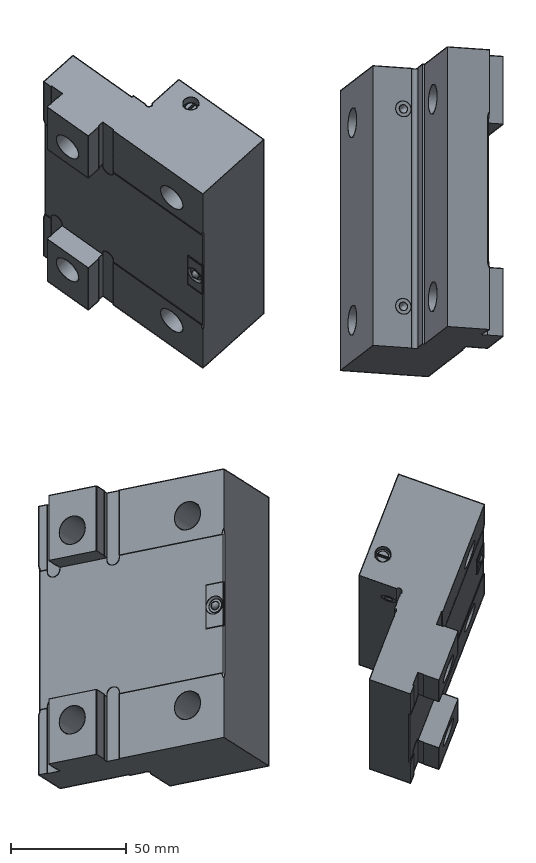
import cadquery as cq


width = 92
height = 124.4
depth = 49.0
land_y = 9.3
middle_y = 9.7
middle_height = 64.2
pad_left = 10.2
pad_right = 34.1
pad_chamfer = 0.2
flange_back_y = 28.4
ledge_x = 34.1
ledge_y = 29.4
block_x = 42.9

relief_radius = 1.5
relief_x = 42.0
relief_y = 30.5

groove_width = 6.2
groove_depth = 0.5
groove_end_z = 28.2
left_undercut = 0.1
right_undercut = 0.4
undercut_y = 7.1
left_groove_x = pad_left + left_undercut - groove_width / 2
right_groove_x = pad_right - right_undercut + groove_width / 2

edge_chamfer = 0.5
runout_radius = 5.6

mount_diameter = 12.9
mount_left_x = 22.0
mount_right_x = 74.0
mount_z = 43.9

set_screw_radius = 3.5
set_screw_length = 12.5
set_screw_y = 35.3
socket_radius = 1.9
socket_depth = 1.6

slotted_x = 55.5
slotted_y = 42.7
slotted_radius = 3.5
slotted_length = 12.5
slotted_sink = 3.0
slotted_chamfer = 1.0
slot_width = 1.0
slot_depth = 1.5

plate_face_y = land_y
plate_width = 8.5
plate_height = 20.2
plate_thickness = 0.9
plate_back_y = plate_face_y + plate_thickness
plate_right = width - edge_chamfer
nose_screw_x = plate_right - plate_width / 2
nose_screw_radius = 3.1
nose_screw_length = 10
nose_radius = 1.9
countersink_radius = 4.1


def box(x_range, y_range, z_range):
    """Axis-aligned box between the given limits."""
    (x0, x1), (y0, y1), (z0, z1) = x_range, y_range, z_range
    return cq.Workplane("XY").box(x1 - x0, y1 - y0, z1 - z0, centered=False).translate((x0, y0, z0))


def rod_along_y(x, y, z, radius, length):
    """Cylinder that starts at (x, y, z) and runs toward +Y."""
    return cq.Workplane(cq.Solid.makeCylinder(radius, length, cq.Vector(x, y, z), cq.Vector(0, 1, 0)))


def make_blank():
    """Stepped section over the full height, with the relief groove in its corner."""
    outline = [
        (0, land_y),
        (pad_left, land_y),
        (pad_left, pad_chamfer),
        (pad_left + pad_chamfer, 0),
        (pad_right - pad_chamfer, 0),
        (pad_right, pad_chamfer),
        (pad_right, land_y),
        (width, land_y),
        (width, depth),
        (block_x, depth),
        (block_x, ledge_y),
        (ledge_x, ledge_y),
        (ledge_x, flange_back_y),
        (0, flange_back_y),
    ]
    bottom = cq.Workplane("XY").workplane(offset=-height / 2)
    blank = bottom.polyline(outline).close().extrude(height)
    relief = bottom.center(relief_x, relief_y).circle(relief_radius).extrude(height)
    return blank.cut(relief)


def groove_cutter(x, side):
    """Round-ended groove that runs out through the top (side 1) or the bottom (side -1)."""
    radius = groove_width / 2
    straight_z = groove_end_z + radius
    floor_y = land_y + groove_depth
    channel = box((x - radius, x + radius), (undercut_y, floor_y), (straight_z, height / 2))
    end = rod_along_y(x, undercut_y, straight_z, radius, floor_y - undercut_y)
    cutter = channel.union(end)
    return cutter if side > 0 else cutter.mirror("XY")


def edge_cutter(edge_x, turn):
    """Bar at 45 degrees across a long front edge; its rounded ends let the chamfer run out in the lands."""
    flat_side_y = middle_y + edge_chamfer
    bar_width = 2 * runout_radius
    bar = (
        cq.Workplane("YZ")
        .slot2D(middle_height + bar_width, bar_width, 90)
        .extrude(runout_radius, both=True)
        .translate((0, -runout_radius, 0))
    )
    return bar.rotate((0, 0, 0), (0, 0, 1), turn).translate((edge_x, flat_side_y, 0))


def make_set_screw_shank(side):
    """Shank of a set screw, which is also the shape of its hole in the housing."""
    return cq.Workplane(
        cq.Solid.makeCylinder(
            set_screw_radius,
            set_screw_length,
            cq.Vector(block_x, set_screw_y, side * mount_z),
            cq.Vector(1, 0, 0),
        )
    )


def make_set_screw(side):
    """Set screw along X, flush with the block, with a conical socket."""
    mouth = cq.Vector(block_x, set_screw_y, side * mount_z)
    socket = cq.Solid.makeCone(socket_radius, 0, socket_depth, mouth, cq.Vector(1, 0, 0))
    return make_set_screw_shank(side).cut(cq.Workplane(socket))


def make_slotted_screw():
    """Slotted, chamfered screw along Z, sunk below the top."""
    head_z = height / 2 - slotted_sink
    screw = (
        cq.Workplane("XY", origin=(slotted_x, slotted_y, head_z))
        .circle(slotted_radius)
        .extrude(-slotted_length)
        .faces(">Z")
        .chamfer(slotted_chamfer)
    )
    slot = box(
        (slotted_x - slot_width / 2, slotted_x + slot_width / 2),
        (slotted_y - slotted_radius, slotted_y + slotted_radius),
        (head_z - slot_depth, head_z),
    )
    return screw.cut(slot)


def make_plate_blank():
    """Outer block of the plate, which is also the shape of its pocket in the housing."""
    return box(
        (plate_right - plate_width, plate_right),
        (plate_face_y, plate_back_y),
        (-plate_height / 2, plate_height / 2),
    )


def make_plate():
    """Thin plate with a countersunk hole."""
    countersink = cq.Solid.makeCone(
        countersink_radius,
        nose_screw_radius,
        plate_thickness,
        cq.Vector(nose_screw_x, plate_face_y, 0),
        cq.Vector(0, 1, 0),
    )
    return make_plate_blank().cut(cq.Workplane(countersink))


def make_nose_shank():
    """Shank of the nose screw, which is also the shape of its hole in the housing."""
    return rod_along_y(nose_screw_x, plate_back_y, 0, nose_screw_radius, nose_screw_length)


def make_nose_screw():
    """Screw level with the back of the plate, with a ball nose that stands out through the plate."""
    nose = cq.Workplane("XY", origin=(nose_screw_x, plate_back_y, 0)).sphere(nose_radius)
    return make_nose_shank().union(nose)


def make_housing():
    """Stepped block with its front recess, grooves, chamfers, mounting holes and screw holes."""
    housing = make_blank()
    half_middle = middle_height / 2
    housing = housing.cut(box((0, width), (0, middle_y), (-half_middle, half_middle)))

    for side in (1, -1):
        for x in (left_groove_x, right_groove_x):
            housing = housing.cut(groove_cutter(x, side))
        for x in (mount_left_x, mount_right_x):
            housing = housing.cut(rod_along_y(x, 0, side * mount_z, mount_diameter / 2, depth))

    housing = housing.cut(edge_cutter(0, -45)).cut(edge_cutter(width, 45))

    for side in (1, -1):
        housing = housing.cut(make_set_screw_shank(side))

    slotted_hole = (
        cq.Workplane("XY", origin=(slotted_x, slotted_y, height / 2))
        .circle(slotted_radius)
        .extrude(-slotted_sink - slotted_length)
    )
    housing = housing.cut(slotted_hole)

    return housing.cut(make_plate_blank()).cut(make_nose_shank())


housing = make_housing()
set_screws = [make_set_screw(side) for side in (1, -1)]
slotted_screw = make_slotted_screw()
plate = make_plate()
nose_screw = make_nose_screw()

result = cq.Compound.makeCompound(
    [
        housing.val(),
        *[screw.val() for screw in set_screws],
        slotted_screw.val(),
        plate.val(),
        nose_screw.val(),
    ]
)